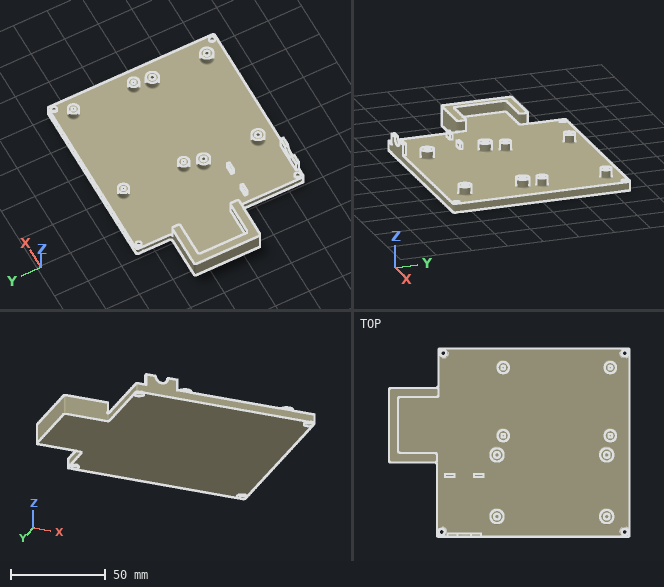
import cadquery as cq

length = 126.8
width = 99.3
height = 11.0

plate_thickness = 5.0
plate_left_lower = 25.2
plate_left_upper = 26.1
corner_radius = 1.0

tray_front = 39.0
tray_back = 78.5
rim_wall = 4.8
rim_front_wall = 5.2
upper_root_radius = 1.3
lower_root_radius = 0.6

screw_hole_diameter = 3.2
screw_hole_inset = 2.5
countersink_diameter = 5.3

standoff_top = 10.1
standoff_fillet = 1.0
small_diameter = 6.0
small_bore = 2.0
small_x = (60.2, 116.6)
small_y = (53.2, 89.1)
large_diameter = 7.0
large_bore = 3.0
large_x = (56.9, 114.7)
large_y = (10.6, 43.1)

support_x = 39.7
support_width = 17.6
support_thickness = 1.8
notch_radius = 3.5
tab_length = 5.1
tab_thickness = 1.5
tab_top = 8.0
tab_y = 32.2
tab_spacing = 15.2


def block(x_min, x_max, y_min, y_max, z_min, z_max):
    """Axis-aligned box between the given limits."""
    size = (x_max - x_min, y_max - y_min, z_max - z_min)
    return cq.Workplane("XY").box(*size, centered=False).translate((x_min, y_min, z_min))


def round_corner(plate, x, y, radius):
    """Fillet the upright plate edge at (x, y)."""
    nearest = cq.selectors.NearestToPointSelector((x, y, plate_thickness / 2))
    return plate.edges("|Z").edges(nearest).fillet(radius)


def make_plate():
    """Stepped plate with rounded outer corners and filleted tray roots."""
    plate = (
        cq.Workplane("XY")
        .moveTo(plate_left_lower, 0)
        .lineTo(length, 0)
        .lineTo(length, width)
        .lineTo(plate_left_upper, width)
        .lineTo(plate_left_upper, tray_back)
        .lineTo(0, tray_back)
        .lineTo(0, tray_front)
        .lineTo(plate_left_lower, tray_front)
        .close()
        .extrude(plate_thickness)
    )
    roots = (
        (plate_left_upper, tray_back, upper_root_radius),
        (plate_left_lower, tray_front, lower_root_radius),
    )
    for x, y, radius in roots:
        plate = round_corner(plate, x, y, radius)
    corners = (
        (plate_left_lower, 0),
        (length, 0),
        (length, width),
        (plate_left_upper, width),
        (0, tray_back),
        (0, tray_front),
    )
    for x, y in corners:
        plate = round_corner(plate, x, y, corner_radius)
    return plate


def make_rim():
    """U-shaped wall around the tray, open towards the plate."""
    rim = (
        cq.Workplane("XY")
        .moveTo(0, tray_front)
        .lineTo(plate_left_lower, tray_front)
        .lineTo(plate_left_lower, tray_front + rim_front_wall)
        .lineTo(rim_wall, tray_front + rim_front_wall)
        .lineTo(rim_wall, tray_back - rim_wall)
        .lineTo(plate_left_upper, tray_back - rim_wall)
        .lineTo(plate_left_upper, tray_back)
        .lineTo(0, tray_back)
        .close()
        .extrude(height)
    )
    return rim.edges("|Z").fillet(corner_radius)


def make_standoff(x, y, diameter, bore):
    """Round post with a flared foot and a blind bore down to the plate."""
    radius = diameter / 2
    foot_radius = radius + standoff_fillet
    foot_top = plate_thickness + standoff_fillet
    flare = standoff_fillet * (1 - 0.5 ** 0.5)
    post = (
        cq.Workplane("XZ")
        .moveTo(bore / 2, plate_thickness)
        .lineTo(foot_radius, plate_thickness)
        .threePointArc((radius + flare, plate_thickness + flare), (radius, foot_top))
        .lineTo(radius, standoff_top)
        .lineTo(bore / 2, standoff_top)
        .close()
        .revolve(360, (0, 0, 0), (0, 1, 0))
    )
    return post.translate((x, y, 0))


def make_support():
    """Front wall with a half-round cable notch."""
    half_width = support_width / 2
    wall = block(support_x - half_width, support_x + half_width, 0, support_thickness, 0, height)
    notch = (
        cq.Workplane("XZ")
        .center(support_x, height)
        .circle(notch_radius)
        .extrude(-support_thickness)
    )
    return wall.cut(notch)


def make_tab(x):
    """Small upright tab centred at x."""
    y_min = tab_y - tab_thickness / 2
    return block(x - tab_length / 2, x + tab_length / 2, y_min, y_min + tab_thickness, 0, tab_top)


def drill_screw_holes(body):
    """Through holes in the four plate corners, countersunk on the underside."""
    right = length - screw_hole_inset
    back = width - screw_hole_inset
    centres = [
        (plate_left_lower + screw_hole_inset, screw_hole_inset),
        (right, screw_hole_inset),
        (right, back),
        (plate_left_upper + screw_hole_inset, back),
    ]
    sink_depth = (countersink_diameter - screw_hole_diameter) / 2
    for x, y in centres:
        hole = cq.Workplane("XY").center(x, y).circle(screw_hole_diameter / 2).extrude(plate_thickness)
        countersink = cq.Solid.makeCone(
            countersink_diameter / 2, screw_hole_diameter / 2, sink_depth, pnt=cq.Vector(x, y, 0)
        )
        body = body.cut(hole).cut(countersink)
    return body


result = make_plate().union(make_rim()).union(make_support())
for side in (-1, 1):
    result = result.union(make_tab(support_x + side * tab_spacing / 2))
for x in small_x:
    for y in small_y:
        result = result.union(make_standoff(x, y, small_diameter, small_bore))
for x in large_x:
    for y in large_y:
        result = result.union(make_standoff(x, y, large_diameter, large_bore))
result = drill_screw_holes(result)